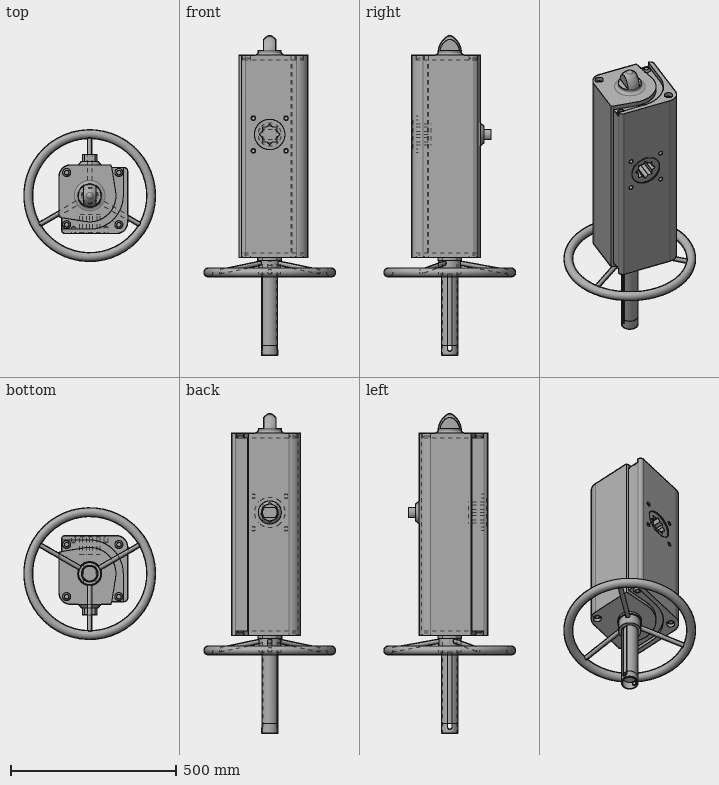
import cadquery as cq
import math

total_height = 970.0

housing_bottom = 297.0
housing_top = 911.0
near_side = 93.0
far_side = 115.0
setback_side = 85.0
step_start = 64.0
step_end = 67.0
corner_radius = 35.0
small_corner_radius = 12.0

channel_depth = 15.0
channel_inner_radius = 80.0
channel_outer_radius = 102.0

screw_near = 70.0
screw_far = 88.0
screw_diameter = 24.0
screw_top_diameter = 14.0
screw_head_height = 6.0

recess_diameter = 92.0
recess_depth = 4.0

knob_collar_diameter = 70.0
knob_foot_diameter = 92.0
knob_collar_height = 15.0
knob_foot_height = 9.0
knob_flank_radius = 26.0
knob_flank_drop = 21.0
knob_dome_radius = 10.0
knob_dome_height = 4.0
knob_width = 38.0

drive_z = 671.0
socket_square = 45.0
socket_depth = 58.0
flange_hole_offset = 49.5
flange_hole_diameter = 12.0
flange_hole_mouth = 14.0
flange_hole_chamfer = (flange_hole_mouth - flange_hole_diameter) / 2
flange_hole_depth = 19.0
drill_point_angle = 118
stub_foot_diameter = 70.0
stub_foot_top_diameter = 50.0
stub_foot_length = 11.0
stub_diameter = 45.0
stub_end = 125.0
stub_width = 31.0

wheel_diameter = 400.0
rim_diameter = 27.0
rim_z = 252.0
hub_diameter = 67.0
hub_flange_diameter = 73.0
hub_flange_height = 9.0
hub_bottom = 247.0
spoke_count = 3
spoke_diameter = 14.0
spoke_hub_z = 281.0
tube_diameter = 50.0
tube_chamfer = 2.0
rod_diameter = 45.0
rod_end = 30.0
slot_width = 14.0
slot_bottom = 14.0


def housing_block():
    block = (
        cq.Workplane("XY", origin=(0, 0, housing_bottom))
        .moveTo(-near_side, near_side)
        .lineTo(step_start, near_side)
        .lineTo(step_end, setback_side)
        .lineTo(far_side, setback_side)
        .lineTo(far_side, -far_side)
        .lineTo(-setback_side, -far_side)
        .lineTo(-setback_side, -step_end)
        .lineTo(-near_side, -step_start)
        .close()
        .extrude(housing_top - housing_bottom)
    )
    mid_z = (housing_bottom + housing_top) / 2

    def upright(x, y):
        return cq.selectors.NearestToPointSelector((x, y, mid_z))

    block = block.edges(upright(-near_side, near_side)).fillet(corner_radius)
    block = block.edges(upright(far_side, -far_side)).fillet(corner_radius)
    block = block.edges(upright(far_side, setback_side)).fillet(small_corner_radius)
    return block.edges(upright(-setback_side, -far_side)).fillet(small_corner_radius)


def channel(floor_z):
    """Channel running round the axis and out through the two stepped-back sides."""
    corner_reach = math.hypot(step_end, setback_side)
    tangent_angle = math.atan2(setback_side, step_end) - math.acos(channel_inner_radius / corner_reach)
    tangent_x = channel_inner_radius * math.cos(tangent_angle)
    tangent_y = channel_inner_radius * math.sin(tangent_angle)
    inner_mid = channel_inner_radius * math.sqrt(0.5)
    outer_mid = channel_outer_radius * math.sqrt(0.5)
    return (
        cq.Workplane("XY", origin=(0, 0, floor_z))
        .moveTo(step_end, setback_side)
        .lineTo(tangent_x, tangent_y)
        .threePointArc((inner_mid, -inner_mid), (-tangent_y, -tangent_x))
        .lineTo(-setback_side, -step_end)
        .lineTo(-setback_side, -channel_outer_radius)
        .lineTo(0, -channel_outer_radius)
        .threePointArc((outer_mid, -outer_mid), (channel_outer_radius, 0))
        .lineTo(channel_outer_radius, setback_side)
        .close()
        .extrude(channel_depth)
    )


def end_screws(end_z, inward):
    """Screw pockets and heads at one end; inward is the Z direction into the housing."""
    floor_z = end_z + inward * channel_depth
    spots = [(x, y) for x in (-screw_near, screw_far) for y in (screw_near, -screw_far)]
    floor = cq.Workplane("XY", origin=(0, 0, floor_z))
    pockets = floor.pushPoints(spots).circle(screw_diameter / 2).extrude(-inward * channel_depth)
    head = (
        floor.circle(screw_diameter / 2)
        .workplane(offset=-inward * screw_head_height)
        .circle(screw_top_diameter / 2)
        .loft()
    )
    return pockets, [head.translate((x, y, 0)) for x, y in spots]


def arc_middle(width, height):
    """Middle of an arc of that width and height, measured from its end that lies level."""
    radius = (width**2 + height**2) / (2 * height)
    half_sweep = math.asin(width / radius) / 2
    return radius * math.sin(half_sweep), radius * (1 - math.cos(half_sweep))


def indicator_knob():
    collar_radius = knob_collar_diameter / 2
    foot_radius = knob_foot_diameter / 2
    collar_top = housing_top + knob_collar_height
    foot_inset, foot_rise = arc_middle(foot_radius - collar_radius, knob_foot_height)
    dome_reach, dome_drop = arc_middle(knob_dome_radius, knob_dome_height)
    knob = (
        cq.Workplane("XZ")
        .moveTo(0, housing_top)
        .lineTo(foot_radius, housing_top)
        .threePointArc(
            (foot_radius - foot_inset, housing_top + foot_rise),
            (collar_radius, housing_top + knob_foot_height),
        )
        .lineTo(collar_radius, collar_top)
        .threePointArc(
            (knob_flank_radius, total_height - knob_flank_drop),
            (knob_dome_radius, total_height - knob_dome_height),
        )
        .threePointArc((dome_reach, total_height - dome_drop), (0, total_height))
        .close()
        .revolve(360, (0, 0, 0), (0, 1, 0))
    )
    side_depth = collar_radius - knob_width / 2
    for side in (-1, 1):
        flat_cut = cq.Workplane("XY", origin=(side * (knob_width + side_depth) / 2, 0, collar_top))
        flat_cut = flat_cut.rect(side_depth, knob_collar_diameter)
        knob = knob.cut(flat_cut.extrude(total_height - collar_top))
    return knob


def flange_hole():
    """Blind hole along +Y from the origin, with a chamfered mouth and a drill point."""
    hole_radius = flange_hole_diameter / 2
    point_length = hole_radius / math.tan(math.radians(drill_point_angle / 2))
    return (
        cq.Workplane("XY")
        .lineTo(flange_hole_mouth / 2, 0)
        .lineTo(hole_radius, flange_hole_chamfer)
        .lineTo(hole_radius, flange_hole_depth)
        .lineTo(0, flange_hole_depth + point_length)
        .close()
        .revolve(360, (0, 0, 0), (0, 1, 0))
    )


def drive_socket():
    """Recess, eight-pointed star bore and flange holes in the -Y side."""
    face = cq.Workplane("XZ", origin=(0, -far_side, drive_z))
    cutter = face.circle(recess_diameter / 2).extrude(-recess_depth)
    for turn in (0, 45):
        square = face.transformed(rotate=(0, 0, turn)).rect(socket_square, socket_square)
        cutter = cutter.union(square.extrude(-socket_depth))
    for side in (-flange_hole_offset, flange_hole_offset):
        for rise in (-flange_hole_offset, flange_hole_offset):
            cutter = cutter.union(flange_hole().translate((side, -far_side, drive_z + rise)))
    return cutter


def stub_shaft():
    foot_end = near_side + stub_foot_length
    foot = (
        cq.Workplane("XZ", origin=(0, near_side, drive_z))
        .circle(stub_foot_diameter / 2)
        .workplane(offset=-stub_foot_length)
        .circle(stub_foot_top_diameter / 2)
        .loft()
    )
    shaft_face = cq.Workplane("XZ", origin=(0, foot_end, drive_z))
    shaft = shaft_face.circle(stub_diameter / 2).extrude(foot_end - stub_end)
    flats = shaft_face.rect(stub_diameter, stub_width).extrude(foot_end - stub_end)
    return foot.union(shaft.intersect(flats))


def build_housing():
    housing = housing_block()
    housing = housing.cut(channel(housing_top - channel_depth))
    housing = housing.cut(channel(housing_bottom))
    for end_z, inward in ((housing_top, -1), (housing_bottom, 1)):
        pockets, heads = end_screws(end_z, inward)
        housing = housing.cut(pockets)
        for head in heads:
            housing = housing.union(head)
    housing = housing.union(indicator_knob()).cut(drive_socket()).union(stub_shaft())
    rod = cq.Workplane("XY", origin=(0, 0, rod_end)).circle(rod_diameter / 2)
    return housing.union(rod.extrude(housing_bottom - rod_end))


def wheel_rim():
    rim_radius = (wheel_diameter - rim_diameter) / 2
    rim = cq.Workplane("XZ").center(rim_radius, rim_z).circle(rim_diameter / 2)
    return rim.revolve(360, (-rim_radius, 0, 0), (-rim_radius, 1, 0))


def wheel_spoke(angle):
    """Sloping spoke from inside the hub wall to the centre line of the rim."""
    inner_radius = tube_diameter / 2
    run = (wheel_diameter - rim_diameter) / 2 - inner_radius
    fall = spoke_hub_z - rim_z
    spoke = cq.Solid.makeCylinder(
        spoke_diameter / 2,
        math.hypot(run, fall),
        cq.Vector(0, inner_radius, spoke_hub_z),
        cq.Vector(0, run, -fall),
    )
    return cq.Workplane("XY").add(spoke).rotate((0, 0, 0), (0, 0, 1), angle)


def wheel_hub():
    flange_bottom = housing_bottom - hub_flange_height
    hub = cq.Workplane("XY", origin=(0, 0, hub_bottom)).circle(hub_diameter / 2)
    hub = hub.extrude(flange_bottom - hub_bottom)
    flange = cq.Workplane("XY", origin=(0, 0, flange_bottom)).circle(hub_flange_diameter / 2)
    return hub.union(flange.extrude(hub_flange_height))


def guard_tube():
    """Tube under the hub, slotted through both X sides from the hub to near its lower end."""
    tube = cq.Workplane("XY").circle(tube_diameter / 2).extrude(hub_bottom)
    tube = tube.faces("<Z").edges().chamfer(tube_chamfer)
    slot = (
        cq.Workplane("YZ", origin=(-tube_diameter / 2, 0, 0))
        .moveTo(-slot_width / 2, hub_bottom)
        .lineTo(-slot_width / 2, slot_bottom + slot_width / 2)
        .threePointArc((0, slot_bottom), (slot_width / 2, slot_bottom + slot_width / 2))
        .lineTo(slot_width / 2, hub_bottom)
        .close()
        .extrude(tube_diameter)
    )
    return tube.cut(slot)


def build_handwheel():
    wheel = wheel_hub().union(guard_tube())
    for index in range(spoke_count):
        wheel = wheel.union(wheel_spoke(index * 360 / spoke_count))
    wheel = wheel.union(wheel_rim())
    return wheel.cut(cq.Workplane("XY").circle(rod_diameter / 2).extrude(housing_bottom))


housing = build_housing()
handwheel = build_handwheel()

result = cq.Compound.makeCompound([*housing.solids().vals(), *handwheel.solids().vals()])